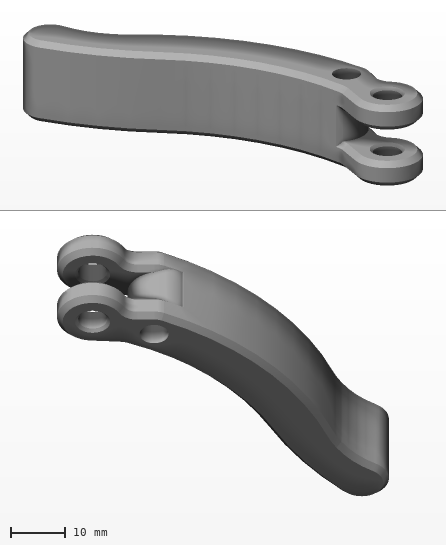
import cadquery as cq
import math

height = 16.0
cheek_thickness = 4.9
edge_chamfer = 1.0

eye_x, eye_y = 33.1, -2.2
eye_radius = 6.5
hole_diameter = 5.3
eye_hole_chamfer = 0.55

pin_x, pin_y = 22.35, 2.5

body_end_x, body_end_y = 20.4, 2.1
body_end_radius = 6.0

tip_x = -39.65

rear_tip = (-33.85, 0.2)
rear_dip = (-29.2, 0.0)
rear_blend_start = (-24.8, 0.9)
rear_blend_middle = (-23.1, 1.5)
rear_bow_start = (-21.4, 2.3)
rear_bow_middle = (7.9, 9.7)
rear_shoulder = (25.1, 7.1)
rear_neck = (29.5, 3.2)
rear_shoulder_radius = 4.0
rear_neck_radius = 2.7

front_slope = math.radians(40)
front_eye_start = (
    eye_x - eye_radius * math.sin(front_slope),
    eye_y - eye_radius * math.cos(front_slope),
)
front_shoulder = (24.5, -3.7)
front_shoulder_radius = 3.6
front_bow_middle = (7.5, -0.8)
front_bow_start = (-12.05, -4.6)
front_handle_middle = (-23.5, -8.2)
front_tip = (-34.65, -9.7)
tip_middle = (tip_x, -4.6)


def chamfered_lever(thickness, bottom):
    """Full lever outline, extruded and chamfered along both rims."""
    outline = (
        cq.Workplane("XY", origin=(0, 0, bottom))
        .moveTo(*rear_tip)
        .threePointArc(rear_dip, rear_blend_start)
        .threePointArc(rear_blend_middle, rear_bow_start)
        .threePointArc(rear_bow_middle, rear_shoulder)
        .lineTo(*rear_neck)
        .threePointArc((eye_x + eye_radius, eye_y), front_eye_start)
        .lineTo(*front_shoulder)
        .threePointArc(front_bow_middle, front_bow_start)
        .threePointArc(front_handle_middle, front_tip)
        .threePointArc(tip_middle, rear_tip)
        .close()
    )
    lever = outline.extrude(thickness)
    for corner, radius in (
        (rear_shoulder, rear_shoulder_radius),
        (rear_neck, rear_neck_radius),
        (front_shoulder, front_shoulder_radius),
    ):
        corner_edge = cq.selectors.NearestToPointSelector((*corner, bottom + thickness / 2))
        lever = lever.edges("|Z").edges(corner_edge).fillet(radius)
    return lever.faces("<Z or >Z").chamfer(edge_chamfer)


def fork_region():
    """Full-height space beyond the rounded end of the solid body."""
    length = eye_x + 2 * eye_radius - body_end_x
    width = 4 * eye_radius
    space = cq.Workplane("XY").box(length, width, height, centered=(False, True, True))
    body_end = (
        cq.Workplane("XY", origin=(body_end_x, body_end_y, -height / 2))
        .circle(body_end_radius)
        .extrude(height)
    )
    return space.translate((body_end_x, 0, 0)).cut(body_end)


def cheek(bottom):
    """Fork cheek with its eye hole chamfered on both faces."""
    plate = chamfered_lever(cheek_thickness, bottom)
    eye_hole = (
        cq.Workplane("XY", origin=(eye_x, eye_y, bottom))
        .circle(hole_diameter / 2)
        .extrude(cheek_thickness)
    )
    drilled = plate.cut(eye_hole)
    for rim_z in (bottom, bottom + cheek_thickness):
        rim = cq.selectors.NearestToPointSelector((eye_x, eye_y, rim_z))
        drilled = drilled.edges(rim).chamfer(eye_hole_chamfer)
    return drilled.intersect(fork_region())


result = chamfered_lever(height, -height / 2).cut(fork_region())
for cheek_bottom in (-height / 2, height / 2 - cheek_thickness):
    result = result.union(cheek(cheek_bottom))

pin_hole = (
    cq.Workplane("XY", origin=(pin_x, pin_y, -height / 2))
    .circle(hole_diameter / 2)
    .extrude(height)
)
result = result.cut(pin_hole)